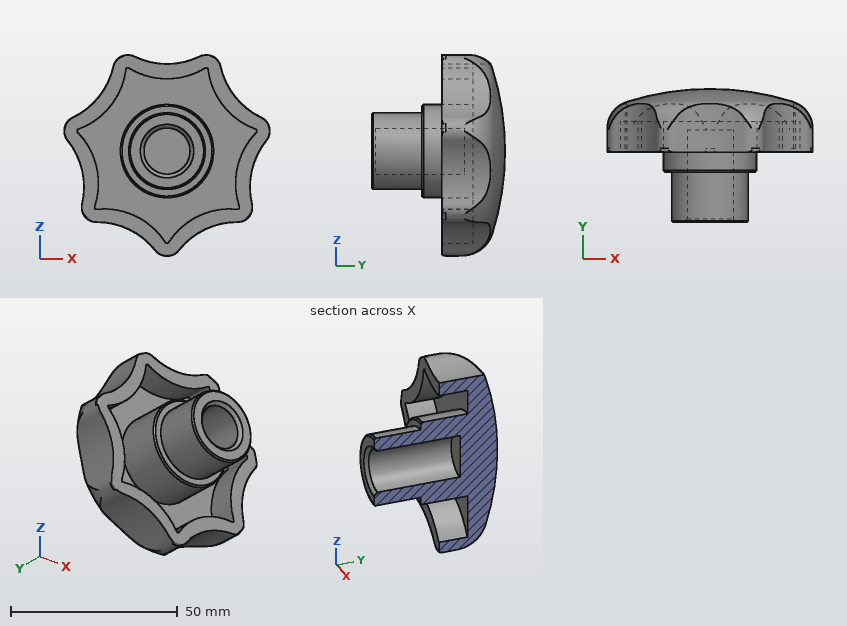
import cadquery as cq
import math


lobe_count = 7
tip_radius = 31.5
lobe_radius = 4.5
flute_radius = 22.25

head_height = 19.0
dome_radius = 82.0
shoulder_radius = 9.85
wall_draft = 0.05
rim_recess = 0.155
rim_recess_height = 1.2
rim_fillet = 0.55

pocket_depth = 9.25
pocket_flute_radius = 21.95
pocket_valley_radius = 21.65
pocket_corner_fillet = 0.55

collar_diameter = 28.0
collar_length = 6.0
hub_diameter = 23.0
hub_length = 21.0
hub_chamfer = 0.5

bore_diameter = 13.8
bore_chamfer = 1.1
bore_depth = 27.75

half_pitch = math.pi / lobe_count
first_lobe_angle = -math.pi / 2
lobe_angles = [first_lobe_angle + 2 * half_pitch * i for i in range(lobe_count)]


def polar(radius, angle):
    return (radius * math.cos(angle), radius * math.sin(angle))


def plane_at(height):
    """Plane across the knob axis: local x is X, local y is Z, normal is -Y."""
    return cq.Workplane("XZ", origin=(0, height, 0))


def lobed_prism():
    """Star outline: convex lobes joined tangentially by concave flutes."""
    lobe_centre = tip_radius - lobe_radius
    half_gap = lobe_centre * math.sin(half_pitch)
    lobe_reach = lobe_centre * math.cos(half_pitch)
    flute_centre = lobe_reach + math.sqrt((flute_radius + lobe_radius) ** 2 - half_gap**2)
    valley_radius = flute_centre - flute_radius

    joint_offset = half_gap * flute_radius / (flute_radius + lobe_radius)
    joint_reach = flute_centre - math.sqrt(flute_radius**2 - joint_offset**2)
    joint_radius = math.hypot(joint_offset, joint_reach)
    joint_angle = half_pitch - math.atan2(joint_offset, joint_reach)

    outline = plane_at(0).moveTo(*polar(joint_radius, lobe_angles[0] - joint_angle))
    for angle in lobe_angles:
        next_angle = angle + 2 * half_pitch
        outline = outline.threePointArc(polar(tip_radius, angle), polar(joint_radius, angle + joint_angle))
        outline = outline.threePointArc(
            polar(valley_radius, angle + half_pitch), polar(joint_radius, next_angle - joint_angle)
        )
    return outline.close().extrude(-head_height)


def domed_body():
    """Turned head: recessed rim, drafted wall, round shoulder and shallow dome."""
    wall_radius = tip_radius - wall_draft
    recess_radius = tip_radius - rim_recess
    shoulder_centre = wall_radius - shoulder_radius
    dome_centre_height = head_height - dome_radius

    tangent_angle = math.asin(shoulder_centre / (dome_radius - shoulder_radius))
    shoulder_start_height = dome_centre_height + (dome_radius - shoulder_radius) * math.cos(tangent_angle)

    def shoulder_point(angle):
        return (
            shoulder_centre + shoulder_radius * math.sin(angle),
            shoulder_start_height + shoulder_radius * math.cos(angle),
        )

    dome_edge = shoulder_point(tangent_angle)
    shoulder_middle = shoulder_point((tangent_angle + math.pi / 2) / 2)
    dome_middle = (
        dome_radius * math.sin(tangent_angle / 2),
        dome_centre_height + dome_radius * math.cos(tangent_angle / 2),
    )
    return (
        cq.Workplane("XY")
        .lineTo(recess_radius - rim_fillet, 0)
        .radiusArc((recess_radius, rim_fillet), -rim_fillet)
        .lineTo(recess_radius, rim_recess_height)
        .lineTo(tip_radius, rim_recess_height)
        .lineTo(wall_radius, shoulder_start_height)
        .threePointArc(shoulder_middle, dome_edge)
        .threePointArc(dome_middle, (0, head_height))
        .close()
        .revolve(360, (0, 0, 0), (0, 1, 0))
    )


def pocket():
    """Hollow under the head, bounded by concave arcs that meet in rounded corners."""
    flute_centre = pocket_valley_radius + pocket_flute_radius
    corner_radius = flute_centre * math.cos(half_pitch) - math.sqrt(
        pocket_flute_radius**2 - (flute_centre * math.sin(half_pitch)) ** 2
    )
    outline = plane_at(0).moveTo(*polar(corner_radius, lobe_angles[0]))
    for angle in lobe_angles:
        outline = outline.threePointArc(
            polar(pocket_valley_radius, angle + half_pitch), polar(corner_radius, angle + 2 * half_pitch)
        )
    return outline.close().extrude(-pocket_depth).edges("|Y").fillet(pocket_corner_fillet)


def hub():
    """Stepped hub rising from the pocket floor to its free end."""
    collar = plane_at(pocket_depth).circle(collar_diameter / 2).extrude(pocket_depth + collar_length)
    neck = plane_at(pocket_depth).circle(hub_diameter / 2).extrude(pocket_depth + hub_length)
    return collar.faces("<Y").chamfer(hub_chamfer).union(neck.faces("<Y").chamfer(hub_chamfer))


def bore():
    """Blind bore with a chamfered mouth at the free end of the hub."""
    radius = bore_diameter / 2
    return (
        cq.Workplane("XY", origin=(0, -hub_length, 0))
        .lineTo(radius + bore_chamfer, 0)
        .lineTo(radius, bore_chamfer)
        .lineTo(radius, bore_depth)
        .lineTo(0, bore_depth)
        .close()
        .revolve(360, (0, 0, 0), (0, 1, 0))
    )


head = domed_body().intersect(lobed_prism()).cut(pocket())
result = head.union(hub()).cut(bore())